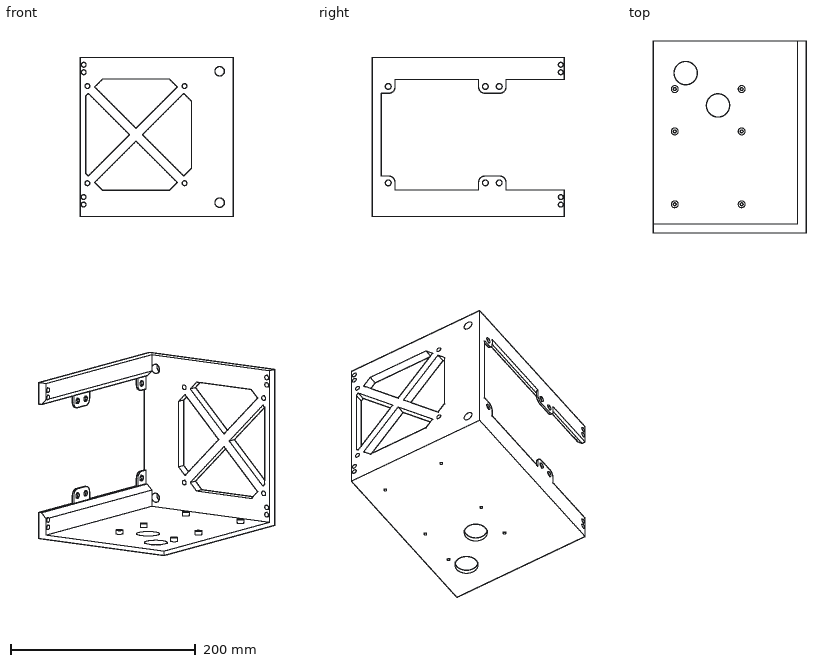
import cadquery as cq

width = 166.0
depth = 208.0
height = 172.0

wall = 10.0
floor_thickness = 5.0

rail_height = 24.0
rail_bevel = 6.0

tab_thickness = 2.0
tab_length = 30.0
tab_drop = 15.0
tab_radius = 7.0
tab_hole_diameter = 6.0
tab_hole_inset = tab_drop / 2
tab_centers_y = (wall, 130.0)

edge_hole_diameter = 5.0
edge_hole_inset = 4.0
edge_hole_offsets = (8.0, 16.0)

window_center_x = 60.5
window_side = 120.0
window_corner_cut = 24.0
window_left_edge = 6.5
brace_width = 10.0
fan_hole_spacing = 105.0
fan_hole_diameter = 5.0

panel_hole_diameter = 10.0
panel_hole_inset = 15.0

cable_hole_diameter = 25.0
cable_hole_centers = ((35.4, 173.0), (70.3, 138.1))
standoff_diameter = 7.5
standoff_bore = 3.0
standoff_height = 4.0
standoff_columns_x = (23.5, 95.9)
standoff_rows_y = (31.2, 110.0, 155.8)

middle_z = (floor_thickness + height) / 2


def box(x, y, z, size_x, size_y, size_z):
    """Box given by its lowest corner and its size."""
    return cq.Workplane().box(size_x, size_y, size_z, centered=False).translate((x, y, z))


def with_mirror(solid):
    """Solid joined with its copy mirrored about the middle of the opening."""
    return solid.union(solid.mirror("XY", (0, 0, middle_z)))


def rod_x(x, y, z, diameter, length):
    return cq.Workplane("YZ", origin=(x, y, z)).circle(diameter / 2).extrude(length)


def rod_y(x, z, diameter):
    """Cutter through the front panel."""
    return cq.Workplane("XZ", origin=(x, wall, z)).circle(diameter / 2).extrude(wall)


def lower_rail():
    """Rail on the floor at the right side, beveled along its inner upper edge."""
    rail = box(width - wall, wall, floor_thickness, wall, depth - wall, rail_height)
    rail = rail.edges("|Y and <X and >Z").chamfer(rail_bevel)
    for offset in edge_hole_offsets:
        hole_z = floor_thickness + offset
        rail = rail.cut(rod_x(width - wall, depth - edge_hole_inset, hole_z, edge_hole_diameter, wall))
    return rail


def lower_tab(center_y):
    """Rounded tab above the lower rail, flush with the outer side; any part ahead of the panel is left off."""
    tab_x = width - tab_thickness
    rail_top = floor_thickness + rail_height
    tab = box(tab_x, center_y - tab_length / 2, rail_top, tab_thickness, tab_length, tab_drop)
    tab = tab.edges("|X and >Z").fillet(tab_radius)
    for side in (-1, 1):
        hole_y = center_y + side * tab_hole_inset
        tab = tab.cut(rod_x(tab_x, hole_y, rail_top + tab_hole_inset, tab_hole_diameter, tab_thickness))
    return tab.intersect(box(0, wall, 0, width, depth, height))


def window():
    """Square opening with cut corners, split by two diagonal braces."""
    center = (window_center_x, wall / 2, middle_z)
    opening = cq.Workplane().box(window_side, wall, window_side)
    opening = opening.edges("|Y").chamfer(window_corner_cut)
    for angle in (-45, 45):
        brace = cq.Workplane().box(2 * window_side, wall, brace_width)
        opening = opening.cut(brace.rotate((0, 0, 0), (0, 1, 0), angle))
    return opening.translate(center).intersect(box(window_left_edge, 0, 0, width, wall, height))


def front_panel():
    panel = box(0, 0, 0, width, wall, height).cut(window())
    for offset in edge_hole_offsets:
        panel = panel.cut(with_mirror(rod_y(edge_hole_inset, floor_thickness + offset, edge_hole_diameter)))
    for side in (-1, 1):
        hole_x = window_center_x + side * fan_hole_spacing / 2
        panel = panel.cut(with_mirror(rod_y(hole_x, middle_z - fan_hole_spacing / 2, fan_hole_diameter)))
    for hole_z in (panel_hole_inset, height - panel_hole_inset):
        panel = panel.cut(rod_y(width - panel_hole_inset, hole_z, panel_hole_diameter))
    return panel


def floor_plate():
    """Floor with two cable holes and bored standoffs; the bores pass through the floor."""
    standoff_centers = [(x, y) for x in standoff_columns_x for y in standoff_rows_y]
    plate = box(0, 0, 0, width, depth, floor_thickness)
    standoffs = cq.Workplane().pushPoints(standoff_centers).circle(standoff_diameter / 2)
    plate = plate.union(standoffs.extrude(floor_thickness + standoff_height))
    bores = cq.Workplane().pushPoints(standoff_centers).circle(standoff_bore / 2)
    plate = plate.cut(bores.extrude(floor_thickness + standoff_height))
    cable_holes = cq.Workplane().pushPoints(cable_hole_centers).circle(cable_hole_diameter / 2)
    return plate.cut(cable_holes.extrude(floor_thickness))


side_frame = lower_rail()
for tab_center_y in tab_centers_y:
    side_frame = side_frame.union(lower_tab(tab_center_y))

result = floor_plate().union(front_panel()).union(with_mirror(side_frame))